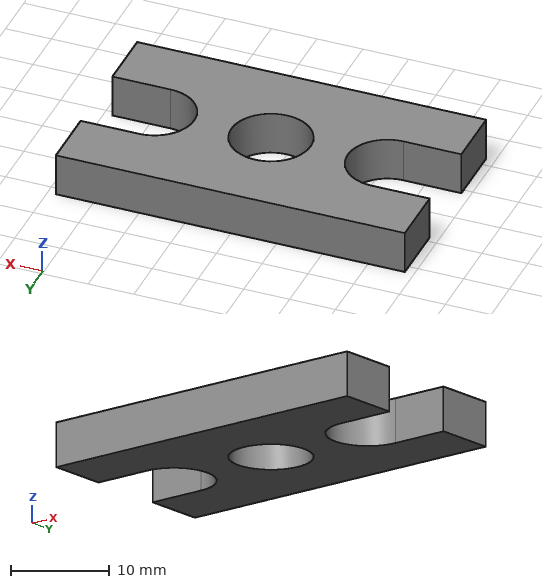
import cadquery as cq

length = 38.1
width = 22.2
thickness = 4.75

hole_diameter = 8.65
slot_depth = 10.65


def make_plate():
    """Rectangular plate centred on the origin."""
    return cq.Workplane("XY").box(length, width, thickness)


def make_slot_cutter(side):
    """Round-bottomed slot open at the end of the plate given by side (-1 or +1)."""
    return (
        cq.Workplane("XY")
        .center(side * length / 2, 0)
        .slot2D(2 * slot_depth, hole_diameter)
        .extrude(thickness / 2, both=True)
    )


result = make_plate().faces(">Z").workplane().hole(hole_diameter)
for side in (-1, 1):
    result = result.cut(make_slot_cutter(side))